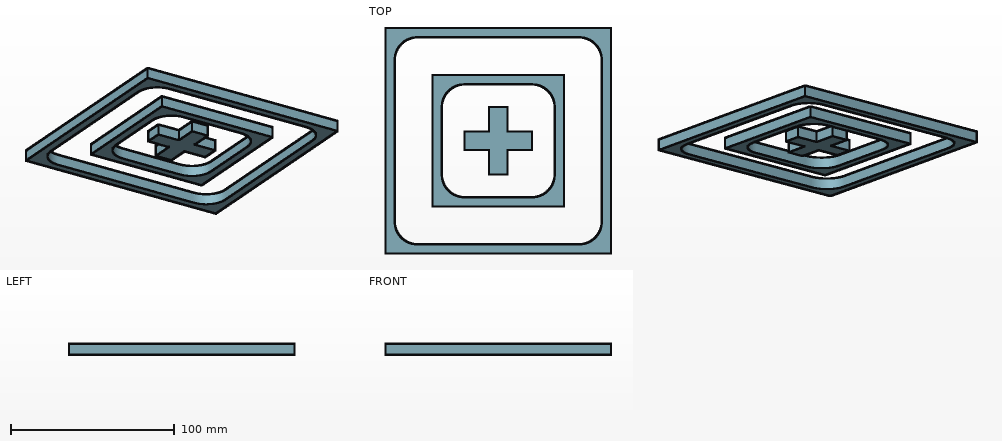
import cadquery as cq

thickness = 6.9
outer_frame_side = 138.2
inner_frame_side = 80.6
frame_wall = 5.8
opening_corner_radius = 13.8
cross_span = 41.5
cross_arm_width = 11.5


def square_frame(side):
    """Sharp-cornered square frame with a rounded square opening."""
    opening_side = side - 2 * frame_wall
    opening = (
        cq.Workplane("XY")
        .rect(opening_side, opening_side)
        .extrude(thickness)
        .edges("|Z")
        .fillet(opening_corner_radius)
    )
    return cq.Workplane("XY").rect(side, side).extrude(thickness).cut(opening)


def center_cross():
    """Plus-shaped plate made of two equal crossing bars."""
    bar_along_x = cq.Workplane("XY").rect(cross_span, cross_arm_width).extrude(thickness)
    bar_along_y = cq.Workplane("XY").rect(cross_arm_width, cross_span).extrude(thickness)
    return bar_along_x.union(bar_along_y)


outer_frame = square_frame(outer_frame_side)
inner_frame = square_frame(inner_frame_side)
cross = center_cross()

result = cq.Compound.makeCompound([outer_frame.val(), inner_frame.val(), cross.val()])